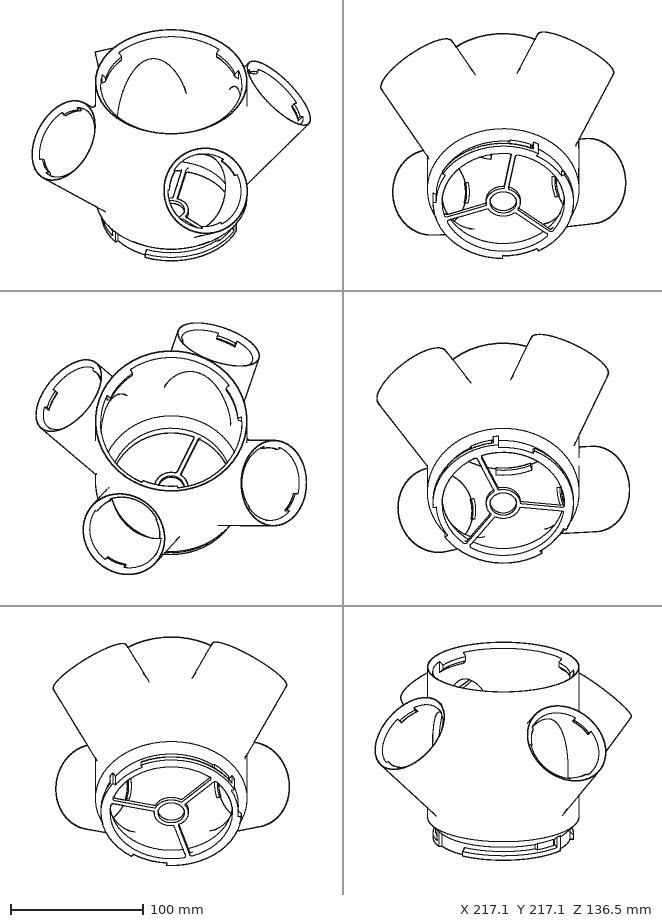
import cadquery as cq
import math

OVERALL_HEIGHT = 136.5
OVERALL_SPAN = 217.08

BODY_RADIUS = 57.5
BODY_BORE_RADIUS = 53.5
SPIGOT_RADIUS = 50.8
SPIGOT_BORE_RADIUS = 46.3
RIM_LAND = 0.4
BODY_RIM_RADIUS = BODY_RADIUS - RIM_LAND
SHOULDER_Z = 16.4
SHOULDER_END_Z = SHOULDER_Z - (BODY_RADIUS - SPIGOT_RADIUS)
INNER_CONE_END_Z = 9.7
INNER_CONE_START_Z = INNER_CONE_END_Z + (BODY_BORE_RADIUS - SPIGOT_BORE_RADIUS)

ARM_COUNT = 4
ARM_TILT = 45
ARM_RADIUS = 32.5
ARM_BORE_RADIUS = 28.3
ARM_RIM_RADIUS = ARM_RADIUS - RIM_LAND
ARM_AXIS_Z = 14.4
ARM_START = 35.0
ARM_TILT_RAD = math.radians(ARM_TILT)
ARM_LENGTH = (OVERALL_SPAN / 2 - ARM_RADIUS * math.cos(ARM_TILT_RAD)) / math.sin(ARM_TILT_RAD)
OUTER_FILLET = 2.0
INNER_FILLET = 2.0

BAYONET_COUNT = 3
LUG_DEPTH = BODY_BORE_RADIUS - SPIGOT_RADIUS
LUG_FLAT = 3.3
ARM_LUG_DEPTH = 1.5
ARM_LUG_FLAT = 2.2
OVERLAP = 1.0
SOCKET_LUG_ANGLE = 30
SOCKET_LUG_START = 90
ARM_LUG_ANGLE = 32

RAIL_DEPTH = 2.5
RAIL_RADIUS = SPIGOT_RADIUS + RAIL_DEPTH
RAIL_EDGE_Z = 3.7
RAIL_TOP_Z = RAIL_EDGE_Z + RAIL_DEPTH
RAIL_START = 200.5
STOP_START = 285.7
STOP_END = 290.0
STOP_BURY = 0.5
STOP_TOP_Z = SHOULDER_END_Z + RAIL_DEPTH + STOP_BURY
DETENT_RADIUS = 51.5
DETENT_START = 265.9
DETENT_END = 283.8
DETENT_RAMP = 4.4
DETENT_BOTTOM_Z = RAIL_EDGE_Z
DETENT_TOP_Z = SHOULDER_END_Z + OVERLAP

HUB_RADIUS = 13.0
HUB_BORE_RADIUS = 10.0
SPOKE_WIDTH = 3.3
SPOKE_COUNT = 3
SPOKE_START = 30
SPIDER_HEIGHT = 3.0
SPIDER_RING_HEIGHT = 7.0
SPOKE_HUB_FILLET = 1.0
SPOKE_WALL_FILLET = 1.8


def polar(radius, angle):
    """Point at a radius and an angle in degrees about the body axis."""
    return (radius * math.cos(math.radians(angle)), radius * math.sin(math.radians(angle)))


def ring_sector(section, start, end):
    """Sweep a (radius, z) section about Z between two angles in degrees."""
    swept = cq.Workplane("XZ").polyline(section).close().revolve(end - start, (0, 0, 0), (0, 1, 0))
    return swept.rotate((0, 0, 0), (0, 0, 1), start)


def turned(section):
    """Turn a closed (radius, z) section into a full solid of revolution."""
    return ring_sector(section, 0, 360)


def copies(shape, count):
    """Evenly spaced copies of a shape about the body axis."""
    return [shape.rotate((0, 0, 0), (0, 0, 1), i * 360 / count) for i in range(count)]


def place_on_arm(shape):
    """Move a shape built along Z onto the arm that points towards +X."""
    return shape.rotate((0, 0, 0), (0, 1, 0), ARM_TILT).translate((0, 0, ARM_AXIS_Z))


def arm_cylinder(radius, end):
    cylinder = cq.Workplane("XY").workplane(offset=ARM_START).circle(radius).extrude(end - ARM_START)
    return place_on_arm(cylinder)


def rim_cone(rim_radius, tip_radius, face):
    """45 degree countersink below an end face, reaching a little past the lug tips."""
    inner_radius = tip_radius - OVERLAP
    inner_z = face - (rim_radius - inner_radius)
    return turned([
        (0, face + OVERLAP),
        (rim_radius + OVERLAP, face + OVERLAP),
        (inner_radius, inner_z),
        (0, inner_z),
    ])


def rim_lug(rim_radius, bore_radius, depth, flat, face, start, end):
    """Inward lug with a 45 degree underside, its top still to be cut by the rim cone."""
    tip_radius = bore_radius - depth
    root_radius = bore_radius + OVERLAP
    tip_bottom = face - (rim_radius - tip_radius) - flat
    section = [
        (root_radius, face - OVERLAP),
        (tip_radius, face - OVERLAP),
        (tip_radius, tip_bottom),
        (bore_radius, tip_bottom - depth),
        (root_radius, tip_bottom - depth),
    ]
    return ring_sector(section, start, end)


def fillet_junctions(shape, wall_radius, radius):
    """Fillet the curves where the arms meet a vertical wall, always in the same order."""
    reach = wall_radius + OVERLAP
    near_wall = cq.selectors.BoxSelector(
        (-reach, -reach, INNER_CONE_START_Z + OVERLAP),
        (reach, reach, OVERALL_HEIGHT - OVERLAP),
    )
    junctions = shape.edges("not(%LINE or %CIRCLE)").edges(near_wall)
    return junctions.sort(lambda edge: edge.Center().toTuple()).fillet(radius)


def outer_shape():
    shape = turned([
        (0, 0),
        (SPIGOT_RADIUS, 0),
        (SPIGOT_RADIUS, SHOULDER_END_Z),
        (BODY_RADIUS, SHOULDER_Z),
        (BODY_RADIUS, OVERALL_HEIGHT),
        (0, OVERALL_HEIGHT),
    ])
    for arm in copies(arm_cylinder(ARM_RADIUS, ARM_LENGTH), ARM_COUNT):
        shape = shape.union(arm)
    return fillet_junctions(shape, BODY_RADIUS, OUTER_FILLET)


def inner_space():
    space = turned([
        (0, 0),
        (SPIGOT_BORE_RADIUS, 0),
        (SPIGOT_BORE_RADIUS, INNER_CONE_END_Z),
        (BODY_BORE_RADIUS, INNER_CONE_START_Z),
        (BODY_BORE_RADIUS, OVERALL_HEIGHT),
        (0, OVERALL_HEIGHT),
    ])
    for bore in copies(arm_cylinder(ARM_BORE_RADIUS, ARM_LENGTH), ARM_COUNT):
        space = space.union(bore)
    return fillet_junctions(space, BODY_BORE_RADIUS, INNER_FILLET)


def socket_lugs():
    lug = rim_lug(
        BODY_RIM_RADIUS, BODY_BORE_RADIUS, LUG_DEPTH, LUG_FLAT, OVERALL_HEIGHT,
        SOCKET_LUG_START, SOCKET_LUG_START + SOCKET_LUG_ANGLE,
    )
    return copies(lug, BAYONET_COUNT)


def arm_lugs():
    lug = rim_lug(
        ARM_RIM_RADIUS, ARM_BORE_RADIUS, ARM_LUG_DEPTH, ARM_LUG_FLAT, ARM_LENGTH,
        -ARM_LUG_ANGLE / 2, ARM_LUG_ANGLE / 2,
    )
    lugs = []
    for arm_lug in copies(lug, BAYONET_COUNT):
        lugs += copies(place_on_arm(arm_lug), ARM_COUNT)
    return lugs


def rim_cones():
    socket_cone = rim_cone(BODY_RIM_RADIUS, BODY_BORE_RADIUS - LUG_DEPTH, OVERALL_HEIGHT)
    arm_cone = rim_cone(ARM_RIM_RADIUS, ARM_BORE_RADIUS - ARM_LUG_DEPTH, ARM_LENGTH)
    return [socket_cone] + copies(place_on_arm(arm_cone), ARM_COUNT)


def spigot_rails():
    root_radius = SPIGOT_RADIUS - OVERLAP
    rail = ring_sector([
        (root_radius, 0),
        (RAIL_RADIUS, 0),
        (RAIL_RADIUS, RAIL_EDGE_Z),
        (SPIGOT_RADIUS, RAIL_TOP_Z),
        (root_radius, RAIL_TOP_Z),
    ], RAIL_START, STOP_START)
    stop = ring_sector([
        (root_radius, 0),
        (RAIL_RADIUS, 0),
        (RAIL_RADIUS, STOP_TOP_Z),
        (root_radius, STOP_TOP_Z),
    ], STOP_START, STOP_END)
    return copies(rail, BAYONET_COUNT) + copies(stop, BAYONET_COUNT)


def detents():
    root_radius = SPIGOT_RADIUS - OVERLAP
    middle = (DETENT_START + DETENT_END) / 2
    detent = (
        cq.Workplane("XY")
        .workplane(offset=DETENT_BOTTOM_Z)
        .moveTo(*polar(root_radius, DETENT_START - DETENT_RAMP))
        .lineTo(*polar(DETENT_RADIUS, DETENT_START))
        .threePointArc(polar(DETENT_RADIUS, middle), polar(DETENT_RADIUS, DETENT_END))
        .lineTo(*polar(root_radius, DETENT_END + DETENT_RAMP))
        .close()
        .extrude(DETENT_TOP_Z - DETENT_BOTTOM_Z)
    )
    return copies(detent, BAYONET_COUNT)


def joint_point(along, across, height, angle):
    """Point given along and across a spoke that lies at an angle about the body axis."""
    return cq.Vertex.makeVertex(along, across, height).rotate((0, 0, 0), (0, 0, 1), angle).toTuple()


def edge_at(shape, point):
    """Edge whose centre lies nearest to a point."""
    return shape.edges(cq.selectors.NearestToPointSelector(point)).val()


def spider():
    """Hub and spokes, with the band of spigot wall that the spokes grow from."""
    hub = cq.Workplane("XY").circle(HUB_RADIUS).extrude(SPIDER_HEIGHT)
    ring = (
        cq.Workplane("XY")
        .circle(SPIGOT_RADIUS - OVERLAP)
        .circle(SPIGOT_BORE_RADIUS)
        .extrude(SPIDER_RING_HEIGHT)
    )
    shape = hub.union(ring)
    spoke_length = SPIGOT_BORE_RADIUS + OVERLAP
    spoke = (
        cq.Workplane("XY")
        .center(spoke_length / 2, 0)
        .rect(spoke_length, SPOKE_WIDTH)
        .extrude(SPIDER_HEIGHT)
        .rotate((0, 0, 0), (0, 0, 1), SPOKE_START)
    )
    for placed_spoke in copies(spoke, SPOKE_COUNT):
        shape = shape.union(placed_spoke)
    half_width = SPOKE_WIDTH / 2
    hub_joint = math.sqrt(HUB_RADIUS**2 - half_width**2)
    wall_joint = math.sqrt(SPIGOT_BORE_RADIUS**2 - half_width**2)
    mid_height = SPIDER_HEIGHT / 2
    hub_points = []
    wall_points = []
    for i in range(SPOKE_COUNT):
        angle = SPOKE_START + i * 360 / SPOKE_COUNT
        for side in (-1, 1):
            hub_points.append(joint_point(hub_joint, side * half_width, mid_height, angle))
            wall_points.append(joint_point(wall_joint, side * half_width, mid_height, angle))
        wall_points.append(joint_point(SPIGOT_BORE_RADIUS, 0, SPIDER_HEIGHT, angle))
    shape = shape.newObject([edge_at(shape, point) for point in hub_points]).fillet(SPOKE_HUB_FILLET)
    shape = shape.newObject([edge_at(shape, point) for point in wall_points]).fillet(SPOKE_WALL_FILLET)
    hub_bore = cq.Workplane("XY").circle(HUB_BORE_RADIUS).extrude(SPIDER_HEIGHT)
    return shape.cut(hub_bore)


result = outer_shape().cut(inner_space())
for lug in socket_lugs() + arm_lugs():
    result = result.union(lug)
for cone in rim_cones():
    result = result.cut(cone)
for detail in spigot_rails() + detents() + [spider()]:
    result = result.union(detail)